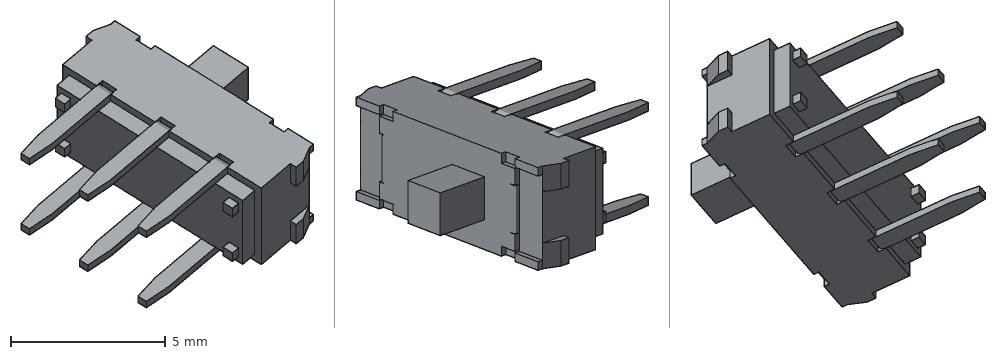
import cadquery as cq


BODY_LENGTH = 8.5
BODY_DEPTH = 2.6
BODY_HEIGHT = 3.6
BASE_LENGTH = 7.94
BASE_DEPTH = 0.6

KNOB_WIDTH = 1.5
KNOB_HEIGHT = 1.5
KNOB_REACH = 2.0
KNOB_X = -1.0

RELIEF_DEPTH = 0.2
RIM_THICKNESS = 0.3
NOTCH_WIDTH = 0.63
NOTCH_HEIGHT = 0.35
NOTCH_X = 2.85
ROUNDED_LAND_HEIGHT = 1.7

OVERALL_LENGTH = 9.0
TOOTH_HEIGHT = 0.9
TOOTH_RAMP_END = 0.8
TOOTH_END = 1.15

PIN_PITCH = 2.5
PIN_WIDTH = 0.6
PIN_TIP_WIDTH = 0.36
PIN_THICKNESS = 0.3
PIN_REACH = 3.9
PIN_TAPER_LENGTH = 1.0
BEND_RADIUS = 0.35
BEND_START_Y = -0.05

FOOT_SIZE = 0.4
FOOT_LENGTH = 0.3
FOOT_X = 3.59
FOOT_Z = 1.05

BASE_HEIGHT = BODY_HEIGHT - 2 * PIN_THICKNESS
TOP_Z = BODY_HEIGHT / 2
RELIEF_FLOOR_Y = BODY_DEPTH - RELIEF_DEPTH


def block(size_x, size_z, y_start, y_end, x=0, z=0):
    """Box centred on (x, z) that runs from y_start to y_end."""
    return cq.Workplane("XY").box(size_x, y_end - y_start, size_z).translate((x, (y_start + y_end) / 2, z))


def mirrored_in_z(shape):
    """The shape together with its mirror image across the XY plane."""
    return shape.union(shape.mirror("XY"))


def end_pocket():
    """Relief open at the -X end, leaving a land with a rounded edge between the rims."""
    pocket_end_x = -NOTCH_X - NOTCH_WIDTH / 2
    length = BODY_LENGTH / 2 + pocket_end_x
    pocket = block(
        length,
        BODY_HEIGHT - 2 * RIM_THICKNESS,
        RELIEF_FLOOR_Y,
        BODY_DEPTH,
        x=pocket_end_x - length / 2,
    )
    rounding = (
        cq.Workplane("XY")
        .moveTo(pocket_end_x, RELIEF_FLOOR_Y)
        .radiusArc((pocket_end_x + RELIEF_DEPTH, BODY_DEPTH), RELIEF_DEPTH)
        .lineTo(pocket_end_x, BODY_DEPTH)
        .close()
        .extrude(ROUNDED_LAND_HEIGHT / 2, both=True)
    )
    return pocket.union(rounding)


def edge_notch():
    """Notch in the upper edge of the +Y face, on the -X side."""
    return block(
        NOTCH_WIDTH,
        NOTCH_HEIGHT,
        RELIEF_FLOOR_Y,
        BODY_DEPTH,
        x=-NOTCH_X,
        z=TOP_Z - NOTCH_HEIGHT / 2,
    )


def snap_teeth():
    """Ramped catches on the upper and lower corners of the -X end."""
    tooth = (
        cq.Workplane("XY")
        .workplane(offset=TOP_Z - TOOTH_HEIGHT)
        .polyline([
            (-BODY_LENGTH / 2, RELIEF_FLOOR_Y),
            (-OVERALL_LENGTH / 2, BODY_DEPTH - TOOTH_RAMP_END),
            (-OVERALL_LENGTH / 2, BODY_DEPTH - TOOTH_END),
            (-BODY_LENGTH / 2, BODY_DEPTH - TOOTH_END),
        ])
        .close()
        .extrude(TOOTH_HEIGHT)
    )
    return mirrored_in_z(tooth)


def pin(x):
    """Upper terminal blade with a tapered tip; its root lies on the body's -Y face."""
    half_width = PIN_WIDTH / 2
    half_tip = PIN_TIP_WIDTH / 2
    taper_y = -PIN_REACH + PIN_TAPER_LENGTH
    return (
        cq.Workplane("XY")
        .workplane(offset=TOP_Z - PIN_THICKNESS)
        .polyline([
            (x - half_width, 0),
            (x - half_width, taper_y),
            (x - half_tip, -PIN_REACH),
            (x + half_tip, -PIN_REACH),
            (x + half_width, taper_y),
            (x + half_width, 0),
        ])
        .close()
        .extrude(PIN_THICKNESS)
    )


def bend_clearance(x):
    """Open corner above the rounded bend where an upper terminal turns into the body."""
    bend_end_y = BEND_START_Y + BEND_RADIUS
    return (
        cq.Workplane("YZ")
        .workplane(offset=x)
        .moveTo(BEND_START_Y, TOP_Z)
        .radiusArc((bend_end_y, TOP_Z - BEND_RADIUS), BEND_RADIUS)
        .lineTo(bend_end_y, TOP_Z)
        .close()
        .extrude(PIN_WIDTH / 2, both=True)
    )


def foot(x, z):
    """Square standoff foot on the base."""
    return block(FOOT_SIZE, FOOT_SIZE, -BASE_DEPTH - FOOT_LENGTH, -BASE_DEPTH, x, z)


def housing():
    """Body with its end reliefs, notches and snap teeth."""
    body = block(BODY_LENGTH, BODY_HEIGHT, 0, BODY_DEPTH)
    relief = end_pocket().union(mirrored_in_z(edge_notch()))
    teeth = snap_teeth()
    body = body.cut(relief).cut(relief.mirror("YZ"))
    return body.union(teeth).union(teeth.mirror("YZ"))


result = housing()
result = result.union(block(BASE_LENGTH, BASE_HEIGHT, -BASE_DEPTH, 0))
result = result.union(block(KNOB_WIDTH, KNOB_HEIGHT, BODY_DEPTH, BODY_DEPTH + KNOB_REACH, x=KNOB_X))

for pin_x in (-PIN_PITCH, 0, PIN_PITCH):
    result = result.union(mirrored_in_z(pin(pin_x)))
    result = result.cut(mirrored_in_z(bend_clearance(pin_x)))

for foot_x in (-FOOT_X, FOOT_X):
    for foot_z in (-FOOT_Z, FOOT_Z):
        result = result.union(foot(foot_x, foot_z))